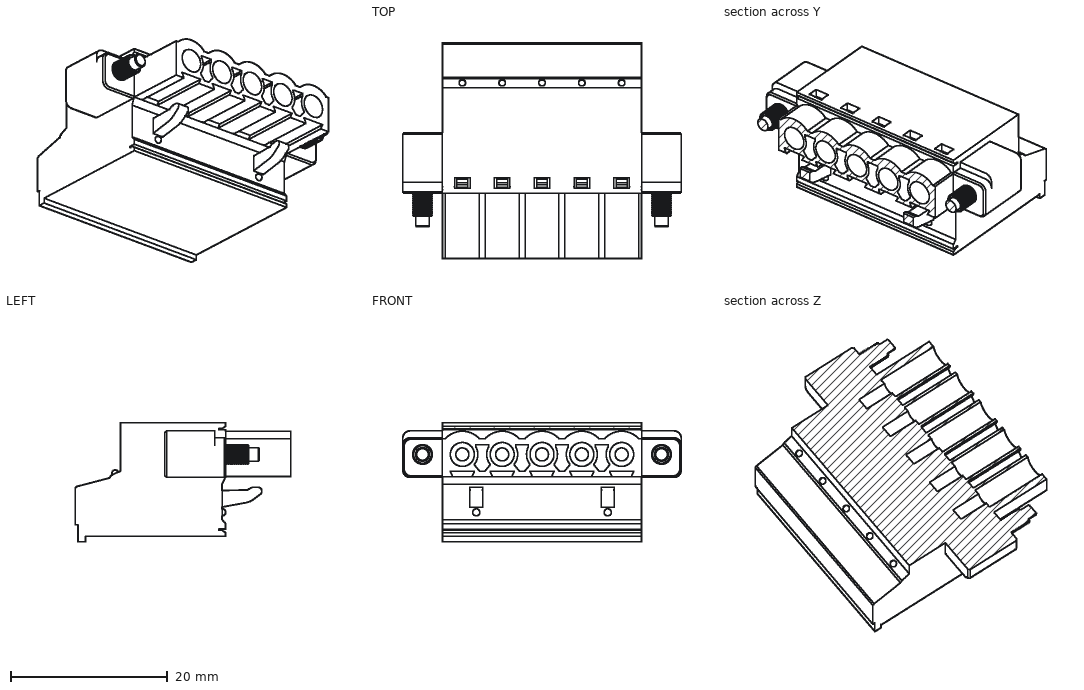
import cadquery as cq
import math


POLES = 5
PITCH = 5.08
BODY_WIDTH = POLES * PITCH
POLE_X = [(i - (POLES - 1) / 2) * PITCH for i in range(POLES)]
GAP_X = [x + PITCH / 2 for x in POLE_X[:-1]]
AXIS_Z = 11.14

BODY_TOP = 15.2
BODY_BACK = 19.2
BODY_BOTTOM = 0.68
BACK_WALL_Y = 13.45
SHELF_TOP_Z = 9.02
SHELF_EDGE_Y = 14.62
SHELF_EDGE_Z = 8.47
SLOPE_TOP_Y = 14.84
SLOPE_TOP_Z = 8.15
SLOPE_BOTTOM_Z = 7.06
REAR_BEVEL = 0.2
FOOT_BACK = 18.87
FOOT_FRONT = 17.88
FOOT_TOP = 2.15
PANEL_Y = 0.45
PANEL_BOTTOM = 2.83
PANEL_TOP = 7.33
LIP_TOP = 2.3
V_DEPTH = 0.45
SLIT_DEPTH = 0.86
SLIT_HEIGHT = 0.12
LOWER_SLIT_Z = 1.48
UPPER_SLIT_Z = 14.3
V_RISE = 0.32

PLUG_LENGTH = 8.3
PLUG_BOTTOM = 8.31
SHOULDER_Z = 13.16
LOBE_RADIUS = 2.96
BORE_RADIUS = 1.53
CONTACT_RADIUS = 0.83
CONTACT_DEPTH = 4.0
KEY_ARC_RADIUS = 1.98
KEY_TOP_Z = 12.38
KEY_LOW_Z = 9.85
KEY_BOTTOM_Z = 9.0
KEY_TOP_HALF = 0.8
KEY_BOTTOM_HALF = 0.34
KEY_LOW_ROUND = 0.12
KEY_BOTTOM_ROUND = 0.15
DOVETAIL_DEPTH = 0.69
DOVETAIL_TOP_HALF = 1.54
DOVETAIL_MOUTH_HALF = 1.24

FLANGE_WIDTH = PITCH
FLANGE_DEPTH = 7.75
FLANGE_BOTTOM = 8.2
FLANGE_TOP = 14.17
FLANGE_STEP_DEPTH = 1.4
FLANGE_STEP_Z = 13.28
FLANGE_ROUND = 1.0
FLANGE_CHAMFER = 0.22

SCREW_X = BODY_WIDTH / 2 + FLANGE_WIDTH / 2
THREAD_RADIUS = 1.25
THREAD_LENGTH = 2.92
THREAD_RINGS = 12
THREAD_DEPTH = 0.12
TIP_RADIUS = 0.87
TIP_LENGTH = 1.35
TIP_CHAMFER = 0.12

POCKET_WIDTH = 1.96
POCKET_BACK = 2.02
POCKET_FRONT = 0.63
POCKET_DEPTH = 1.05
CLAMP_WIDTH = 1.38
CLAMP_BACK = 1.78
CLAMP_FRONT = 0.68
CLAMP_DEPTH = 0.5
CLAMP_LEDGE_DEPTH = 0.25
CLAMP_LEDGE_BACK = 1.35
CLAMP_LEDGE_FRONT = 1.1
CLAMP_NOSE_DEPTH = 0.12
CLAMP_NOSE_BACK = 0.77

HOOK_X = 8.38
HOOK_WIDTH = 1.62
HOOK_ROOT_TOP = (PANEL_Y, 6.55)
HOOK_RAMP_START = (-2.75, 6.63)
HOOK_CREST_BACK = (-3.4, 6.97)
HOOK_CREST_FRONT = (-4.1, 6.97)
HOOK_NOSE_END = (-4.42, 6.05)
HOOK_CHIN = (-3.55, 5.4)
HOOK_BELLY = (-2.6, 4.97)
HOOK_ROOT_BOTTOM = (PANEL_Y, 4.42)
FRONT_BUMP_RADIUS = 0.45
FRONT_BUMP_Z = 3.75
SHELF_BUMP_RADIUS = 0.42
SHELF_BUMP_Y = 14.1
SHELF_BUMP_Z = 8.75


def extrude_x(sketch, width, center_x=0.0):
    """Solid of the given width from a closed YZ outline, centred on center_x."""
    return sketch.extrude(width / 2, both=True).translate((center_x, 0, 0))


def box(x0, x1, y0, y1, z0, z1):
    return cq.Workplane("XY").box(x1 - x0, y1 - y0, z1 - z0, centered=False).translate((x0, y0, z0))


def rod(radius, y_start, y_end, x):
    """Cylinder on the pole axis height running along Y."""
    axis = cq.Workplane("XZ", origin=(x, y_start, AXIS_Z))
    return axis.circle(radius).extrude(y_start - y_end)


def make_body():
    outline = [
        (BACK_WALL_Y, BODY_TOP),
        (BACK_WALL_Y, SHELF_TOP_Z),
        (SHELF_EDGE_Y, SHELF_EDGE_Z),
        (SLOPE_TOP_Y, SLOPE_TOP_Z),
        (BODY_BACK - REAR_BEVEL, SLOPE_BOTTOM_Z),
        (BODY_BACK, SLOPE_BOTTOM_Z - REAR_BEVEL),
        (BODY_BACK, FOOT_TOP),
        (FOOT_BACK, FOOT_TOP),
        (FOOT_BACK, 0),
        (FOOT_FRONT, 0),
        (FOOT_FRONT, BODY_BOTTOM),
        (0, BODY_BOTTOM),
        (0, LOWER_SLIT_Z - V_RISE),
        (V_DEPTH, LOWER_SLIT_Z),
        (SLIT_DEPTH, LOWER_SLIT_Z),
        (SLIT_DEPTH, LOWER_SLIT_Z + SLIT_HEIGHT),
        (0, LOWER_SLIT_Z + SLIT_HEIGHT),
        (0, LIP_TOP),
        (PANEL_Y, PANEL_BOTTOM),
        (PANEL_Y, PANEL_TOP),
        (0, PLUG_BOTTOM),
        (0, UPPER_SLIT_Z),
        (SLIT_DEPTH, UPPER_SLIT_Z),
        (SLIT_DEPTH, UPPER_SLIT_Z + SLIT_HEIGHT),
        (V_DEPTH, UPPER_SLIT_Z + SLIT_HEIGHT),
        (0, UPPER_SLIT_Z + SLIT_HEIGHT + V_RISE),
        (0, BODY_TOP),
    ]
    return extrude_x(cq.Workplane("YZ").polyline(outline).close(), BODY_WIDTH)


def make_plug():
    half = BODY_WIDTH / 2
    plug = box(-half, half, -PLUG_LENGTH, 0, PLUG_BOTTOM, SHOULDER_Z)
    above_bottom = box(-half, half, -PLUG_LENGTH, 0, AXIS_Z, BODY_TOP)
    for x in POLE_X:
        lobe = rod(LOBE_RADIUS, 0, -PLUG_LENGTH, x)
        plug = plug.union(lobe.intersect(above_bottom))
    return plug


def key_flank(z):
    """Half-width of a key slot where its flank arc passes height z."""
    return PITCH / 2 - math.sqrt(KEY_ARC_RADIUS**2 - (z - AXIS_Z) ** 2)


def make_key_slot(x):
    waist = PITCH / 2 - KEY_ARC_RADIUS
    arc_top_z = AXIS_Z + math.sqrt(KEY_ARC_RADIUS**2 - (PITCH / 2 - KEY_TOP_HALF) ** 2)
    low_half = key_flank(KEY_LOW_Z)
    outline = (
        cq.Workplane("XZ")
        .moveTo(-KEY_TOP_HALF, KEY_TOP_Z)
        .lineTo(KEY_TOP_HALF, KEY_TOP_Z)
        .lineTo(KEY_TOP_HALF, arc_top_z)
        .threePointArc((waist, AXIS_Z), (low_half, KEY_LOW_Z))
        .lineTo(KEY_BOTTOM_HALF, KEY_BOTTOM_Z)
        .lineTo(-KEY_BOTTOM_HALF, KEY_BOTTOM_Z)
        .lineTo(-low_half, KEY_LOW_Z)
        .threePointArc((-waist, AXIS_Z), (-KEY_TOP_HALF, arc_top_z))
        .close()
    )
    slot = outline.extrude(PLUG_LENGTH)
    slot = slot.faces("<Z").edges("|Y").fillet(KEY_BOTTOM_ROUND)
    for side in ("<X", ">X"):
        slot = slot.edges(side).fillet(KEY_LOW_ROUND)
    return slot.translate((x, 0, 0))


def make_dovetail(x):
    top = PLUG_BOTTOM + DOVETAIL_DEPTH
    outline = [
        (-DOVETAIL_TOP_HALF, top),
        (DOVETAIL_TOP_HALF, top),
        (DOVETAIL_MOUTH_HALF, PLUG_BOTTOM),
        (-DOVETAIL_MOUTH_HALF, PLUG_BOTTOM),
    ]
    return cq.Workplane("XZ").polyline(outline).close().extrude(PLUG_LENGTH).translate((x, 0, 0))


def make_pocket(x):
    """Test pocket whose floor opens onto the stepped spring clamp."""
    floor = BODY_TOP - POCKET_DEPTH
    half = POCKET_WIDTH / 2
    pocket = box(x - half, x + half, POCKET_FRONT, POCKET_BACK, floor, BODY_TOP)
    clamp_outline = [
        (CLAMP_BACK, floor),
        (CLAMP_BACK, floor - CLAMP_DEPTH),
        (CLAMP_LEDGE_BACK, floor - CLAMP_LEDGE_DEPTH),
        (CLAMP_LEDGE_FRONT, floor - CLAMP_LEDGE_DEPTH),
        (CLAMP_NOSE_BACK, floor - CLAMP_NOSE_DEPTH),
        (CLAMP_FRONT, floor - CLAMP_NOSE_DEPTH),
        (CLAMP_FRONT, floor),
    ]
    clamp = extrude_x(cq.Workplane("YZ").polyline(clamp_outline).close(), CLAMP_WIDTH, x)
    return pocket.union(clamp)


def make_flange_block(depth_front, depth_back, top):
    """Rounded bar across the whole part; the housing hides its middle."""
    half = BODY_WIDTH / 2 + FLANGE_WIDTH
    bar = box(-half, half, depth_front, depth_back, FLANGE_BOTTOM, top)
    return bar.edges("|Y").fillet(FLANGE_ROUND)


def make_flanges():
    rear = make_flange_block(FLANGE_STEP_DEPTH, FLANGE_DEPTH, FLANGE_TOP)
    rear = rear.faces(">Y").chamfer(FLANGE_CHAMFER)
    front = make_flange_block(0, FLANGE_STEP_DEPTH, FLANGE_STEP_Z)
    front = front.faces("<Y").chamfer(FLANGE_CHAMFER)
    half = BODY_WIDTH / 2
    middle = box(-half, half, 0, FLANGE_DEPTH, 0, BODY_TOP)
    return rear.union(front).cut(middle)


def make_screw(x):
    """Screw with ring-shaped thread crests and a chamfered pilot tip, turned about its axis."""
    ring_pitch = THREAD_LENGTH / THREAD_RINGS
    root = THREAD_RADIUS - THREAD_DEPTH
    end = THREAD_LENGTH + TIP_LENGTH
    points = [(0, FLANGE_STEP_DEPTH), (root, FLANGE_STEP_DEPTH), (root, 0)]
    for i in range(THREAD_RINGS):
        points.append((THREAD_RADIUS, -(i + 0.5) * ring_pitch))
        points.append((root, -(i + 1) * ring_pitch))
    points += [
        (TIP_RADIUS, -THREAD_LENGTH),
        (TIP_RADIUS, -end + TIP_CHAMFER),
        (TIP_RADIUS - TIP_CHAMFER, -end),
        (0, -end),
    ]
    screw = cq.Workplane("XY").polyline(points).close().revolve(360, (0, 0, 0), (0, 1, 0))
    return screw.translate((x, 0, AXIS_Z))


def make_hook(x):
    """Latch hook reaching forward from the recessed panel, with an upturned rounded nose."""
    outline = (
        cq.Workplane("YZ")
        .moveTo(*HOOK_ROOT_TOP)
        .lineTo(*HOOK_RAMP_START)
        .lineTo(*HOOK_CREST_BACK)
        .lineTo(*HOOK_CREST_FRONT)
        .tangentArcPoint(HOOK_NOSE_END, relative=False)
        .lineTo(*HOOK_CHIN)
        .tangentArcPoint(HOOK_BELLY, relative=False)
        .lineTo(*HOOK_ROOT_BOTTOM)
        .close()
    )
    return extrude_x(outline, HOOK_WIDTH, x)


def make_ball(radius, x, y, z):
    return cq.Workplane("XY").sphere(radius).translate((x, y, z))


def make_part():
    part = make_body().union(make_plug()).union(make_flanges())
    for x in (-SCREW_X, SCREW_X):
        part = part.union(make_screw(x))
    for x in (-HOOK_X, HOOK_X):
        part = part.union(make_hook(x))
        part = part.union(make_ball(FRONT_BUMP_RADIUS, x, PANEL_Y, FRONT_BUMP_Z))
    for x in POLE_X:
        part = part.union(make_ball(SHELF_BUMP_RADIUS, x, SHELF_BUMP_Y, SHELF_BUMP_Z))
        part = part.cut(rod(BORE_RADIUS, 0, -PLUG_LENGTH, x))
        part = part.cut(rod(CONTACT_RADIUS, CONTACT_DEPTH, 0, x))
        part = part.cut(make_dovetail(x))
        part = part.cut(make_pocket(x))
    for x in GAP_X:
        part = part.cut(make_key_slot(x))
    return part


result = make_part()